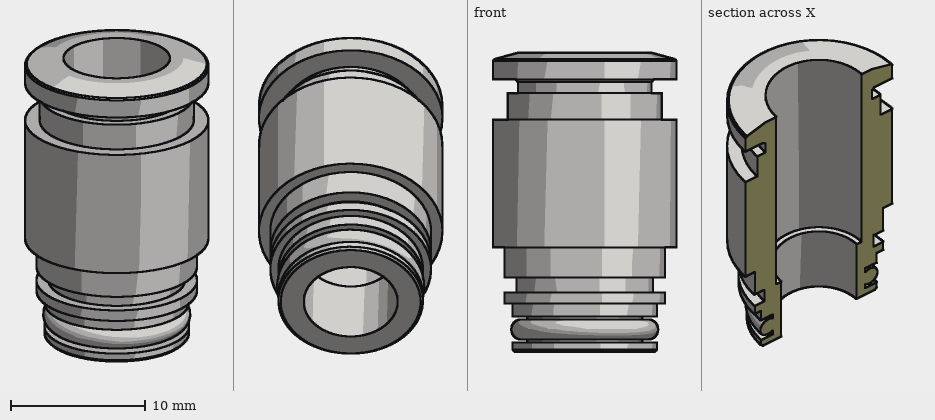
import cadquery as cq

body_d = 13.7
collar_top_d = 10.0
collar_edge_d = 13.42
collar_neck_d = 10.0
neck_flare_d = 10.35
shoulder_d = 11.5
flange_d = 12.0
clip_neck_d = 10.2
plug_d = 10.8
seal_groove_d = 8.6
seal_d = 10.97
tube_bore_d = 7.94
through_bore_d = 7.0

total_h = 22.3
collar_cone_z = 21.83
collar_edge_z = 21.7
collar_bottom_z = 20.32
neck_flare_z = 20.11
shoulder_top_z = 19.3
body_top_z = 17.3
body_bottom_z = 7.78
flange_bottom_z = 5.53
clip_ring_top_z = 4.44
clip_ring_bottom_z = 3.6
seal_groove_top_z = 2.63
seal_groove_bottom_z = 0.71
tube_stop_z = flange_bottom_z

plug_chamfer = 0.18
seal_section_r = 0.75


def cylinder(diameter, bottom, top):
    """Cylinder on the Z axis between two heights."""
    return cq.Workplane("XY").workplane(offset=bottom).circle(diameter / 2).extrude(top - bottom)


def make_collar():
    """Release collar with a conical top, broken edge and flared neck."""
    return (
        cq.Workplane("XZ")
        .moveTo(0, shoulder_top_z)
        .lineTo(collar_neck_d / 2, shoulder_top_z)
        .lineTo(collar_neck_d / 2, neck_flare_z)
        .lineTo(neck_flare_d / 2, collar_bottom_z)
        .lineTo(body_d / 2, collar_bottom_z)
        .lineTo(body_d / 2, collar_edge_z)
        .lineTo(collar_edge_d / 2, collar_cone_z)
        .lineTo(collar_top_d / 2, total_h)
        .lineTo(0, total_h)
        .close()
        .revolve(360, (0, 0, 0), (0, 1, 0))
    )


def make_seal():
    """O-ring seated midway along its groove."""
    ring_r = seal_d / 2 - seal_section_r
    ring_z = (seal_groove_top_z + seal_groove_bottom_z) / 2
    return (
        cq.Workplane("XZ")
        .center(ring_r, ring_z)
        .circle(seal_section_r)
        .revolve(360, (-ring_r, 0, 0), (-ring_r, 1, 0))
    )


outside = cylinder(plug_d, 0, seal_groove_bottom_z).faces("<Z").edges().chamfer(plug_chamfer)
steps = [
    (seal_groove_d, seal_groove_bottom_z, seal_groove_top_z),
    (plug_d, seal_groove_top_z, clip_ring_bottom_z),
    (flange_d, clip_ring_bottom_z, clip_ring_top_z),
    (clip_neck_d, clip_ring_top_z, flange_bottom_z),
    (flange_d, flange_bottom_z, body_bottom_z),
    (body_d, body_bottom_z, body_top_z),
    (shoulder_d, body_top_z, shoulder_top_z),
]
for diameter, bottom, top in steps:
    outside = outside.union(cylinder(diameter, bottom, top))
outside = outside.union(make_collar()).union(make_seal())

tube_bore = cylinder(tube_bore_d, tube_stop_z, total_h)
through_bore = cylinder(through_bore_d, 0, total_h)
result = outside.cut(tube_bore).cut(through_bore)